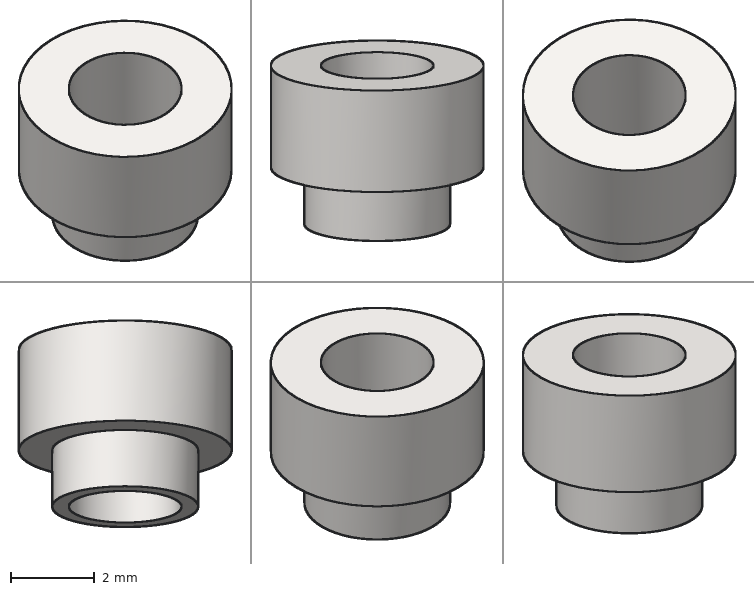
import cadquery as cq

head_diameter = 5.1
spigot_diameter = 3.5
bore_diameter = 2.7
total_height = 3.9
head_height = 2.5
spigot_height = total_height - head_height

spigot = cq.Workplane("XY").circle(spigot_diameter / 2).extrude(spigot_height)
head = (
    cq.Workplane("XY")
    .workplane(offset=spigot_height)
    .circle(head_diameter / 2)
    .extrude(head_height)
)

bore = cq.Workplane("XY").circle(bore_diameter / 2).extrude(total_height)

result = spigot.union(head).cut(bore)